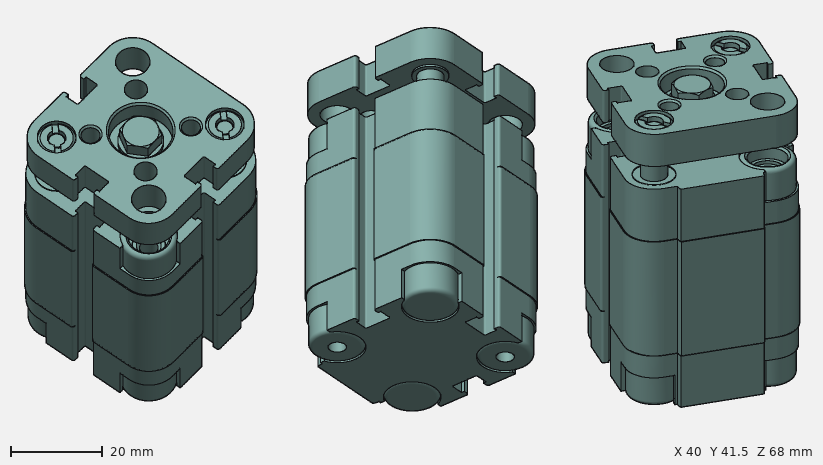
import cadquery as cq
import math

LOWER_CAP_TOP = 12.9
UPPER_CAP_BASE = 41.4
HOUSING_TOP = 54.5
PLATE_BASE = 60.0
PLATE_TOP = 68.0
ROD_SEAT = UPPER_CAP_BASE

BARREL_HALF = 20.0
CAP_HALF = 19.7
PLATE_HALF = 19.5
BARREL_CORNER = 7.0
CAP_CORNER = 6.7
PLATE_CORNER = 6.7

GROOVE_FLOOR = 14.95
GROOVE_LIP = 18.2
GROOVE_HALF = 3.4
MOUTH_HALF = 2.65
MOUTH_FILLET = 0.55
GROOVE_FILLET = 0.35
GROOVE_TURNS = (0, 90, -90)

RAIL_RISE = 1.5
RAIL_BASE_HALF = 9.85
RAIL_SHOULDER_HALF = 9.7
RAIL_TOP_HALF = 9.5
RAIL_CHAMFER = 0.5

CORNER_OFFSET = 13.0
BOSS_DIAMETER = 12.5
BOSS_FILLET = 1.0
NOTCH_INNER = 10.4
LOWER_NOTCH_HEIGHT = 7.35
UPPER_NOTCH_HEIGHT = 7.6

SCREW_BORE_DIAMETER = 9.0
SCREW_BORE_DEPTH = 3.25
SCREW_MOUTH_DIAMETER = 10.0
SCREW_STEP_DIAMETER = 7.2
SCREW_STEP_DEPTH = 4.1
SCREW_CONE_DIAMETER = 5.4
SCREW_HOLE_DIAMETER = 4.0

PIN_DIAMETER = 6.0
COLLAR_DIAMETER = 8.1
COLLAR_HEIGHT = 0.5
BUSHING_DIAMETER = 9.5
BUSHING_RECESS = 0.2
NUT_DIAMETER = 8.4
NUT_FACE_DIAMETER = 7.2
NUT_DROP = 0.35
NUT_SLOT_WIDTH = 1.35
NUT_SLOT_DEPTH = 1.0
NUT_SLOT_TURN = -45
STUD_HOLE_DIAMETER = 4.0
STUD_HOLE_DEPTH = 1.0
STUD_TIP_DIAMETER = 3.5

ROD_DIAMETER = 10.0
ROD_TOP = 64.4
ROD_ACROSS_FLATS = 9.0
FLAT_BASE = 55.75
HEX_ACROSS_FLATS = 8.0
HEX_TOP = 67.65
HEX_SIDES = 6
HEX_CHAMFER_ANGLE = 30

ROD_RECESS_DIAMETER = 14.0
ROD_RECESS_FLOOR = 63.25
ROD_RECESS_CHAMFER = 0.5
ACCESS_HOLE_DIAMETER = 7.5
SMALL_HOLE_OFFSET = 7.75
SMALL_HOLE_DIAMETER = 5.0
THREAD_DIAMETER = 4.15

PIN_SIGNS = ((-1, -1), (1, 1))
SCREW_SIGNS = ((-1, 1), (1, -1))


def spots(signs, offset):
    """X and Y of two opposite axes at equal offsets from the centre."""
    return [(sx * offset, sy * offset) for sx, sy in signs]


def cylinder(diameter, base, top, x=0, y=0):
    """Upright cylinder between two heights."""
    disc = cq.Workplane("XY", origin=(x, y, base)).circle(diameter / 2)
    return disc.extrude(top - base)


def cone(base_diameter, top_diameter, base, top, x=0, y=0):
    """Upright truncated cone between two heights."""
    profile = [(0, base), (base_diameter / 2, base), (top_diameter / 2, top), (0, top)]
    turned = cq.Workplane("XZ").polyline(profile).close().revolve(360, (0, 0), (0, 1))
    return turned.translate((x, y, 0))


def groove(face, base, top):
    """T-groove cutter for the -Y side, with its mouth rounded into the given face."""
    beyond = face + MOUTH_FILLET
    bevel_start = MOUTH_HALF + MOUTH_FILLET
    arc_reach = MOUTH_FILLET * (1 - math.sqrt(0.5))
    arc_half = MOUTH_HALF + arc_reach
    arc_depth = face - arc_reach
    undercut = (
        cq.Workplane("XY", origin=(0, -(GROOVE_FLOOR + GROOVE_LIP) / 2, base))
        .rect(2 * GROOVE_HALF, GROOVE_LIP - GROOVE_FLOOR)
        .extrude(top - base)
        .edges("|Z and >Y").fillet(GROOVE_FILLET)
    )
    mouth = (
        cq.Workplane("XY", origin=(0, 0, base))
        .moveTo(-MOUTH_HALF, -GROOVE_LIP)
        .lineTo(-MOUTH_HALF, MOUTH_FILLET - face)
        .threePointArc((-arc_half, -arc_depth), (-bevel_start, -face))
        .lineTo(-bevel_start, -beyond)
        .lineTo(bevel_start, -beyond)
        .lineTo(bevel_start, -face)
        .threePointArc((arc_half, -arc_depth), (MOUTH_HALF, MOUTH_FILLET - face))
        .lineTo(MOUTH_HALF, -GROOVE_LIP)
        .close()
        .extrude(top - base)
    )
    return undercut.union(mouth)


def section(half, corner, base, top):
    """Rounded square block with T-grooves on three sides."""
    block = (
        cq.Workplane("XY", origin=(0, 0, base))
        .rect(2 * half, 2 * half)
        .extrude(top - base)
        .edges("|Z").fillet(corner)
    )
    for turn in GROOVE_TURNS:
        block = block.cut(groove(half, base, top).rotate((0, 0, 0), (0, 0, 1), turn))
    return block


def rail(half, base, top):
    """Raised strip with sloping sides on the +Y face."""
    crest = half + RAIL_RISE
    shoulder = crest - RAIL_CHAMFER
    root = half - RAIL_RISE
    outline = [
        (-RAIL_BASE_HALF, root), (-RAIL_BASE_HALF, half), (-RAIL_SHOULDER_HALF, shoulder),
        (-RAIL_TOP_HALF, crest), (RAIL_TOP_HALF, crest),
        (RAIL_SHOULDER_HALF, shoulder), (RAIL_BASE_HALF, half), (RAIL_BASE_HALF, root),
    ]
    return cq.Workplane("XY", origin=(0, 0, base)).polyline(outline).close().extrude(top - base)


def corner_notch(height):
    """Cutter that leaves a round boss in the +X+Y corner, its rim rounded at z = height."""
    size = BARREL_HALF - NOTCH_INNER
    block = (
        cq.Workplane("XY", origin=(NOTCH_INNER, NOTCH_INNER, 0))
        .rect(size, size, centered=False)
        .extrude(height)
    )
    rim = cylinder(BOSS_DIAMETER, height - BOSS_FILLET, height, CORNER_OFFSET, CORNER_OFFSET)
    boss = cylinder(BOSS_DIAMETER, 0, height, CORNER_OFFSET, CORNER_OFFSET)
    boss = boss.faces(">Z").edges().fillet(BOSS_FILLET)
    return block.union(rim).cut(boss)


def lower_notches():
    """Notches for the four bosses at the housing base."""
    notch = corner_notch(LOWER_NOTCH_HEIGHT).mirror("XY").translate((0, 0, LOWER_NOTCH_HEIGHT))
    return [notch.rotate((0, 0, 0), (0, 0, 1), turn) for turn in (0, 90, 180, 270)]


def upper_notches():
    """Notches for the two bosses at the housing top."""
    notch = corner_notch(UPPER_NOTCH_HEIGHT).translate((0, 0, HOUSING_TOP - UPPER_NOTCH_HEIGHT))
    return [notch.rotate((0, 0, 0), (0, 0, 1), turn) for turn in (90, 270)]


def screw_hole(x, y):
    """Stepped hole that runs through the whole housing."""
    bore_floor = HOUSING_TOP - SCREW_BORE_DEPTH
    step_floor = HOUSING_TOP - SCREW_STEP_DEPTH
    mouth_base = HOUSING_TOP - (SCREW_MOUTH_DIAMETER - SCREW_BORE_DIAMETER) / 2
    cone_base = step_floor - (SCREW_CONE_DIAMETER - SCREW_HOLE_DIAMETER) / 2
    return (
        cylinder(SCREW_HOLE_DIAMETER, 0, HOUSING_TOP, x, y)
        .union(cone(SCREW_HOLE_DIAMETER, SCREW_CONE_DIAMETER, cone_base, step_floor, x, y))
        .union(cylinder(SCREW_STEP_DIAMETER, step_floor, HOUSING_TOP, x, y))
        .union(cylinder(SCREW_BORE_DIAMETER, bore_floor, HOUSING_TOP, x, y))
        .union(cone(SCREW_BORE_DIAMETER, SCREW_MOUTH_DIAMETER, mouth_base, HOUSING_TOP, x, y))
    )


def make_housing():
    """Barrel between two caps, with the rail, corner bosses and bores."""
    lower_cap = section(CAP_HALF, CAP_CORNER, 0, LOWER_CAP_TOP)
    barrel = section(BARREL_HALF, BARREL_CORNER, LOWER_CAP_TOP, UPPER_CAP_BASE)
    upper_cap = section(CAP_HALF, CAP_CORNER, UPPER_CAP_BASE, HOUSING_TOP)
    body = lower_cap.union(barrel).union(upper_cap)
    body = body.union(rail(CAP_HALF, 0, HOUSING_TOP))
    body = body.union(rail(BARREL_HALF, LOWER_CAP_TOP, UPPER_CAP_BASE))
    for notch in lower_notches() + upper_notches():
        body = body.cut(notch)
    for x, y in spots(SCREW_SIGNS, CORNER_OFFSET):
        body = body.cut(screw_hole(x, y))
    for x, y in spots(PIN_SIGNS, CORNER_OFFSET):
        body = body.cut(cylinder(PIN_DIAMETER, ROD_SEAT, HOUSING_TOP, x, y))
        body = body.cut(cylinder(BUSHING_DIAMETER, HOUSING_TOP - BUSHING_RECESS, HOUSING_TOP, x, y))
    return body.cut(cylinder(ROD_DIAMETER, ROD_SEAT, HOUSING_TOP))


def piston_rod():
    """Rod with two wrench flats on the +Y and -Y sides, topped by a chamfered hexagon."""
    rod = cylinder(ROD_DIAMETER, ROD_SEAT, ROD_TOP)
    flatted = (
        cq.Workplane("XY", origin=(0, 0, FLAT_BASE))
        .rect(ROD_DIAMETER, ROD_ACROSS_FLATS)
        .extrude(PLATE_BASE - FLAT_BASE)
    )
    rod = rod.cut(cylinder(ROD_DIAMETER, FLAT_BASE, PLATE_BASE).cut(flatted))
    across_corners = HEX_ACROSS_FLATS / math.cos(math.pi / HEX_SIDES)
    drop = (across_corners - HEX_ACROSS_FLATS) / 2 * math.tan(math.radians(HEX_CHAMFER_ANGLE))
    hexagon = (
        cq.Workplane("XY", origin=(0, 0, ROD_TOP))
        .polygon(HEX_SIDES, across_corners)
        .extrude(HEX_TOP - ROD_TOP)
        .rotate((0, 0, 0), (0, 0, 1), 180 / HEX_SIDES)
    )
    envelope = cylinder(across_corners, ROD_TOP, HEX_TOP - drop)
    envelope = envelope.union(cone(across_corners, HEX_ACROSS_FLATS, HEX_TOP - drop, HEX_TOP))
    return rod.union(hexagon.intersect(envelope))


def nut_cutter(x, y):
    """Material above a slotted clamp nut whose stud tip sits in its middle."""
    face = PLATE_TOP - NUT_DROP
    rim_base = face - (NUT_DIAMETER - NUT_FACE_DIAMETER) / 2
    tip_base = face - STUD_HOLE_DEPTH
    tip_drop = (STUD_HOLE_DIAMETER - STUD_TIP_DIAMETER) / 2
    nut_face = cone(NUT_DIAMETER, NUT_FACE_DIAMETER, rim_base, face)
    slot = (
        cq.Workplane("XY", origin=(0, 0, face - NUT_SLOT_DEPTH))
        .rect(NUT_DIAMETER, NUT_SLOT_WIDTH)
        .extrude(NUT_SLOT_DEPTH)
        .rotate((0, 0, 0), (0, 0, 1), NUT_SLOT_TURN)
        .intersect(cylinder(NUT_DIAMETER, face - NUT_SLOT_DEPTH, face))
    )
    stud_tip = cone(STUD_HOLE_DIAMETER, STUD_TIP_DIAMETER, tip_base - tip_drop, tip_base)
    stud_hole = cylinder(STUD_HOLE_DIAMETER, tip_base - tip_drop, face).cut(stud_tip)
    cutter = cylinder(NUT_DIAMETER, rim_base, PLATE_TOP).cut(nut_face)
    return cutter.union(slot).union(stud_hole).translate((x, y, 0))


def plate_holes():
    """Access holes, plain holes, threaded holes and the rod recess of the end plate."""
    chamfer_base = PLATE_TOP - ROD_RECESS_CHAMFER
    wide = ROD_RECESS_DIAMETER + 2 * ROD_RECESS_CHAMFER
    thread_chamfer_base = PLATE_TOP - (SMALL_HOLE_DIAMETER - THREAD_DIAMETER) / 2
    holes = [
        cylinder(ROD_RECESS_DIAMETER, ROD_RECESS_FLOOR, PLATE_TOP),
        cone(ROD_RECESS_DIAMETER, wide, chamfer_base, PLATE_TOP),
    ]
    for x, y in spots(SCREW_SIGNS, CORNER_OFFSET):
        holes.append(cylinder(ACCESS_HOLE_DIAMETER, PLATE_BASE, PLATE_TOP, x, y))
    for x, y in spots(SCREW_SIGNS, SMALL_HOLE_OFFSET):
        holes.append(cylinder(SMALL_HOLE_DIAMETER, PLATE_BASE, PLATE_TOP, x, y))
    for x, y in spots(PIN_SIGNS, SMALL_HOLE_OFFSET):
        holes.append(cylinder(THREAD_DIAMETER, PLATE_BASE, PLATE_TOP, x, y))
        holes.append(cone(THREAD_DIAMETER, SMALL_HOLE_DIAMETER, thread_chamfer_base, PLATE_TOP, x, y))
    return holes


def make_slide():
    """End plate with piston rod and guide pins, the moving body."""
    body = section(PLATE_HALF, PLATE_CORNER, PLATE_BASE, PLATE_TOP)
    for hole in plate_holes():
        body = body.cut(hole)
    body = body.union(piston_rod())
    for x, y in spots(PIN_SIGNS, CORNER_OFFSET):
        body = body.union(cylinder(PIN_DIAMETER, ROD_SEAT, PLATE_BASE, x, y))
        body = body.union(cylinder(COLLAR_DIAMETER, PLATE_BASE - COLLAR_HEIGHT, PLATE_BASE, x, y))
        body = body.cut(nut_cutter(x, y))
    return body


housing = make_housing()
slide = make_slide()
result = cq.Compound.makeCompound([housing.solids().val(), slide.solids().val()])